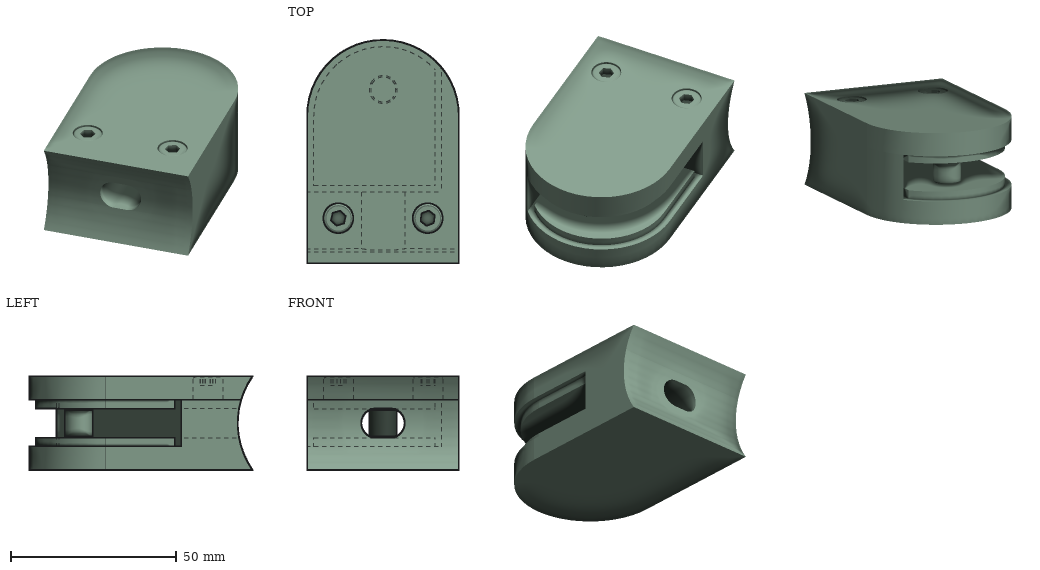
import cadquery as cq
import math

length = 67.65
width = 46.0
end_radius = width / 2
end_center_y = length - end_radius

plate_thickness = 7.25
mouth_height = 14.0
mouth_top = mouth_height / 2
height = mouth_height + 2 * plate_thickness
top = height / 2

saddle_radius = 24.75
saddle_center_y = -math.sqrt(saddle_radius**2 - top**2)

mouth_start_y = 21.65
wall_inner_x = 17.6

slot_width = 13.05
slot_height = 8.9

pad_thickness = 2.65
pad_margin = 1.95
pad_radius = end_radius - pad_margin
pad_start_y = mouth_start_y + pad_margin
pad_side_x = wall_inner_x - pad_margin

pin_diameter = 8.45
pin_length = mouth_height - 2 * pad_thickness
pin_neck_diameter = 7.6
pin_neck_length = 0.4
pin_y = length - 14.95

screw_diameter = 9.05
screw_edge_radius = 0.7
screw_recess = 0.3
screw_top = top - screw_recess
screw_spacing = 27.05
screw_y = 13.65
screw_positions = [(-screw_spacing / 2, screw_y), (screw_spacing / 2, screw_y)]
socket_flats = 4.05
socket_corners = socket_flats / math.cos(math.pi / 6)
socket_depth = 2.45
socket_turns = [17.0, 22.0]


def round_ended_slab(start_y, radius, bottom_z, thickness):
    """Slab with a straight edge at start_y and a half-round +Y end."""
    return (
        cq.Workplane("XY", origin=(0, 0, bottom_z))
        .moveTo(-radius, start_y)
        .lineTo(radius, start_y)
        .lineTo(radius, end_center_y)
        .threePointArc((0, end_center_y + radius), (-radius, end_center_y))
        .close()
        .extrude(thickness)
    )


def cut_saddle(body):
    tube = (
        cq.Workplane("YZ")
        .center(saddle_center_y, 0)
        .circle(saddle_radius)
        .extrude(width, both=True)
    )
    return body.cut(tube)


def make_base():
    """Lower plate, saddle block and side wall in one piece."""
    base = cut_saddle(round_ended_slab(0, end_radius, -top, plate_thickness + mouth_height))
    mouth = cq.Workplane("XY").box(width, length, mouth_height, centered=(False, False, True))
    mouth = mouth.translate((wall_inner_x - width, mouth_start_y, 0))
    slot = (
        cq.Workplane("XZ")
        .slot2D(slot_width, slot_height)
        .extrude(-mouth_start_y)
    )
    return base.cut(mouth).cut(slot)


def make_cover():
    cover = cut_saddle(round_ended_slab(0, end_radius, mouth_top, plate_thickness))
    screw_holes = (
        cq.Workplane("XY", origin=(0, 0, mouth_top))
        .pushPoints(screw_positions)
        .circle(screw_diameter / 2)
        .extrude(plate_thickness)
    )
    return cover.cut(screw_holes)


def make_pad(bottom_z):
    """Pad with a straight +X side that stays clear of the side wall."""
    pad = round_ended_slab(pad_start_y, pad_radius, bottom_z, pad_thickness)
    wall_clearance = cq.Workplane("XY").box(width, length, height, centered=(False, False, True))
    return pad.cut(wall_clearance.translate((pad_side_x, 0, 0)))


def make_pin():
    """Pin with a short narrower neck at each end, where it meets the pads."""
    neck = (
        cq.Workplane("XY", origin=(0, pin_y, -pin_length / 2))
        .circle(pin_neck_diameter / 2)
        .extrude(pin_length)
    )
    barrel = (
        cq.Workplane("XY", origin=(0, pin_y, -pin_length / 2 + pin_neck_length))
        .circle(pin_diameter / 2)
        .extrude(pin_length - 2 * pin_neck_length)
    )
    return neck.union(barrel)


def make_screw(x, y, socket_turn):
    """Round-edged screw head with a hexagon socket, fitting its hole in the cover."""
    head = (
        cq.Workplane("XY", origin=(x, y, mouth_top))
        .circle(screw_diameter / 2)
        .extrude(screw_top - mouth_top)
        .faces(">Z")
        .fillet(screw_edge_radius)
    )
    socket = (
        cq.Workplane("XY", origin=(x, y, screw_top - socket_depth))
        .transformed(rotate=(0, 0, socket_turn))
        .polygon(6, socket_corners)
        .extrude(socket_depth)
    )
    return head.cut(socket)


base = make_base()
cover = make_cover()
pads = [make_pad(bottom_z) for bottom_z in (-mouth_top, mouth_top - pad_thickness)]
pin = make_pin()
screws = [make_screw(x, y, turn) for (x, y), turn in zip(screw_positions, socket_turns)]

result = cq.Compound.makeCompound(
    [
        base.val(),
        cover.val(),
        *[pad.val() for pad in pads],
        pin.val(),
        *[screw.val() for screw in screws],
    ]
)